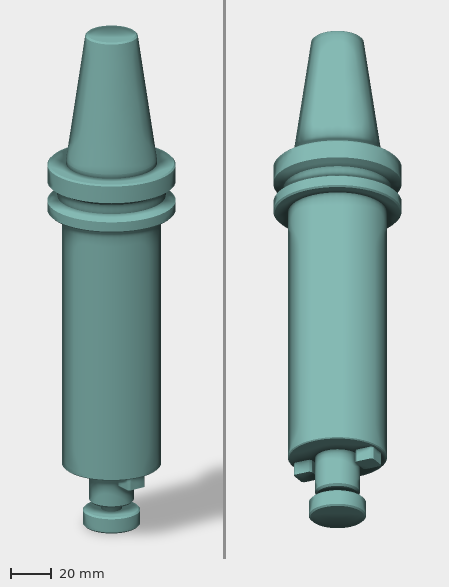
import cadquery as cq

total_height = 256.5
screw_head_top = 8.5
pilot_bottom = 12.3
body_bottom = 31.5
flange_bottom = 163.8
groove_lower_edge = 169.5
groove_upper_edge = 179.5
flange_top = 189.0
collar_top = 191.0

screw_head_radius = 14.0
screw_neck_radius = 5.0
pilot_radius = 11.0
body_radius = 24.4
flange_radius = 31.5
groove_radius = 26.7
taper_large_radius = 22.3
taper_small_radius = 12.8

edge_chamfer = 0.8
body_chamfer = 0.5
pilot_chamfer = 1.0
groove_flank_height = 2.5

key_inner = 12.0
key_outer = 22.0
key_width = 10.3
key_bottom = 25.0
key_chamfer = 1.0


def disc(radius, bottom, top, bottom_chamfer=0.0, top_chamfer=0.0):
    """Cylinder about Z with optional chamfers on its end edges."""
    solid = cq.Workplane("XY").workplane(offset=bottom).circle(radius).extrude(top - bottom)
    if bottom_chamfer:
        solid = solid.faces("<Z").chamfer(bottom_chamfer)
    if top_chamfer:
        solid = solid.faces(">Z").chamfer(top_chamfer)
    return solid


def taper():
    """Cone shank with a short cylindrical collar at its large end."""
    outline = [
        (0, flange_top),
        (taper_large_radius, flange_top),
        (taper_large_radius, collar_top),
        (taper_small_radius, total_height),
        (0, total_height),
    ]
    shank = cq.Workplane("XZ").polyline(outline).close().revolve(360, (0, 0, 0), (0, 1, 0))
    return shank.faces(">Z").chamfer(edge_chamfer)


def flange():
    """Gripper flange with a trapezoidal groove around its rim."""
    rim = disc(flange_radius, flange_bottom, flange_top, edge_chamfer, edge_chamfer)
    groove_outline = [
        (flange_radius, groove_lower_edge),
        (groove_radius, groove_lower_edge + groove_flank_height),
        (groove_radius, groove_upper_edge - groove_flank_height),
        (flange_radius, groove_upper_edge),
    ]
    groove = cq.Workplane("XZ").polyline(groove_outline).close().revolve(360, (0, 0, 0), (0, 1, 0))
    return rim.cut(groove)


def drive_key(side):
    """Block key on the +X (side = 1) or -X (side = -1) half of the body face."""
    key_center = side * (key_inner + key_outer) / 2
    return (
        cq.Workplane("XY")
        .workplane(offset=key_bottom)
        .center(key_center, 0)
        .rect(key_outer - key_inner, key_width)
        .extrude(body_bottom - key_bottom)
        .edges("|Z")
        .chamfer(key_chamfer)
    )


screw_head = disc(screw_head_radius, 0, screw_head_top, edge_chamfer, edge_chamfer)
screw_neck = disc(screw_neck_radius, screw_head_top, pilot_bottom)
pilot = disc(pilot_radius, pilot_bottom, body_bottom, pilot_chamfer)
body = disc(body_radius, body_bottom, flange_bottom, body_chamfer)

result = screw_head.union(screw_neck).union(pilot).union(body).union(flange()).union(taper())
for side in (-1, 1):
    result = result.union(drive_key(side))